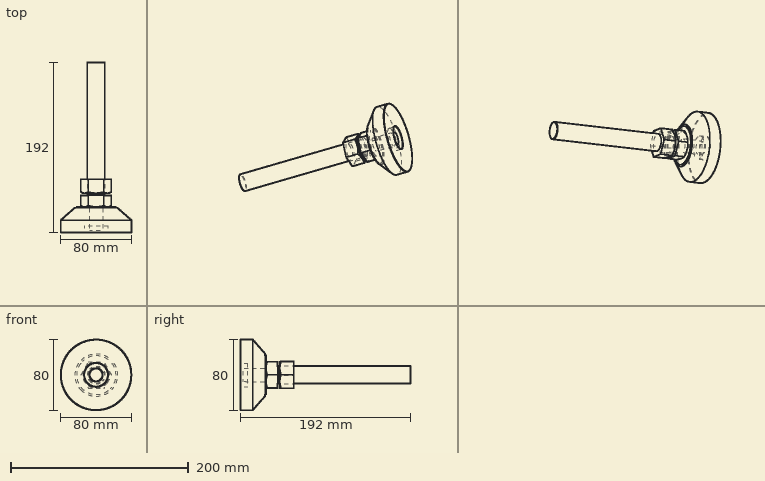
import cadquery as cq
import math


foot_radius = 40.0
foot_rim_height = 14.0
foot_cone_top = 28.0
foot_height = 29.0
foot_shoulder_radius = 24.0
foot_collar_radius = 22.0
foot_edge_chamfer = 0.5

recess_radius = 13.2
recess_depth = 7.5
recess_chamfer = 0.5
recess_mouth_radius = recess_radius + recess_chamfer

head_across_flats = 30.0
head_seat_radius = 15.0
head_height = 13.0
pin_radius = 7.7
pin_tip_radius = 7.1
pin_setback = 2.7

stud_radius = 10.0
stud_length = 150.0
stud_chamfer = 0.6
stud_start = foot_height + head_height
stud_end = stud_start + stud_length

nut_across_flats = 30.0
nut_seat_radius = 14.7
nut_height = 16.0
nut_turn = -0.5
nut_gap = 2.3
nut_start = stud_start + nut_gap
nut_end = nut_start + nut_height

bevel_angle = 30.0


def turned(profile):
    """Solid of revolution about Y from (radius, y) points; both ends are closed to the axis."""
    start = profile[0][1]
    end = profile[-1][1]
    outline = [(0, start), *profile, (0, end)]
    return cq.Workplane("XY").polyline(outline).close().revolve(360, (0, 0, 0), (0, 1, 0))


def rod(radius, start, end):
    """Cylinder along Y between two heights."""
    return turned([(radius, start), (radius, end)])


def hexagon(across_flats, seat_radius, start, end):
    """Hexagon prism with corners on +X and -X, its corners bevelled at the lower end only."""
    corner_radius = across_flats / 2 / math.cos(math.pi / 6)
    bevel_height = (corner_radius - seat_radius) * math.tan(math.radians(bevel_angle))
    prism = cq.Workplane("XZ", origin=(0, start, 0)).polygon(6, 2 * corner_radius).extrude(start - end)
    envelope = turned([
        (seat_radius, start),
        (corner_radius, start + bevel_height),
        (corner_radius, end),
    ])
    return prism.intersect(envelope)


def make_foot():
    body = turned([
        (foot_radius - foot_edge_chamfer, 0),
        (foot_radius, foot_edge_chamfer),
        (foot_radius, foot_rim_height),
        (foot_shoulder_radius, foot_cone_top),
        (foot_collar_radius, foot_cone_top),
        (foot_collar_radius, foot_height),
    ])
    recess = turned([
        (recess_mouth_radius, 0),
        (recess_radius, recess_chamfer),
        (recess_radius, recess_depth),
    ])
    pin_hole = rod(pin_radius, recess_depth, foot_height)
    return body.cut(recess).cut(pin_hole)


def make_head():
    pin = turned([
        (pin_tip_radius, pin_setback),
        (pin_radius, recess_depth),
        (pin_radius, foot_height),
    ])
    return hexagon(head_across_flats, head_seat_radius, foot_height, stud_start).union(pin)


def make_stud():
    return rod(stud_radius, stud_start, stud_end).faces("<Y or >Y").chamfer(stud_chamfer)


def make_nut():
    blank = hexagon(nut_across_flats, nut_seat_radius, nut_start, nut_end)
    bore = rod(stud_radius, nut_start, nut_end)
    return blank.cut(bore).rotate((0, 0, 0), (0, 1, 0), nut_turn)


foot = make_foot().solids()
head = make_head().solids()
stud = make_stud().solids()
nut = make_nut().solids()

result = cq.Compound.makeCompound([foot.val(), head.val(), stud.val(), nut.val()])